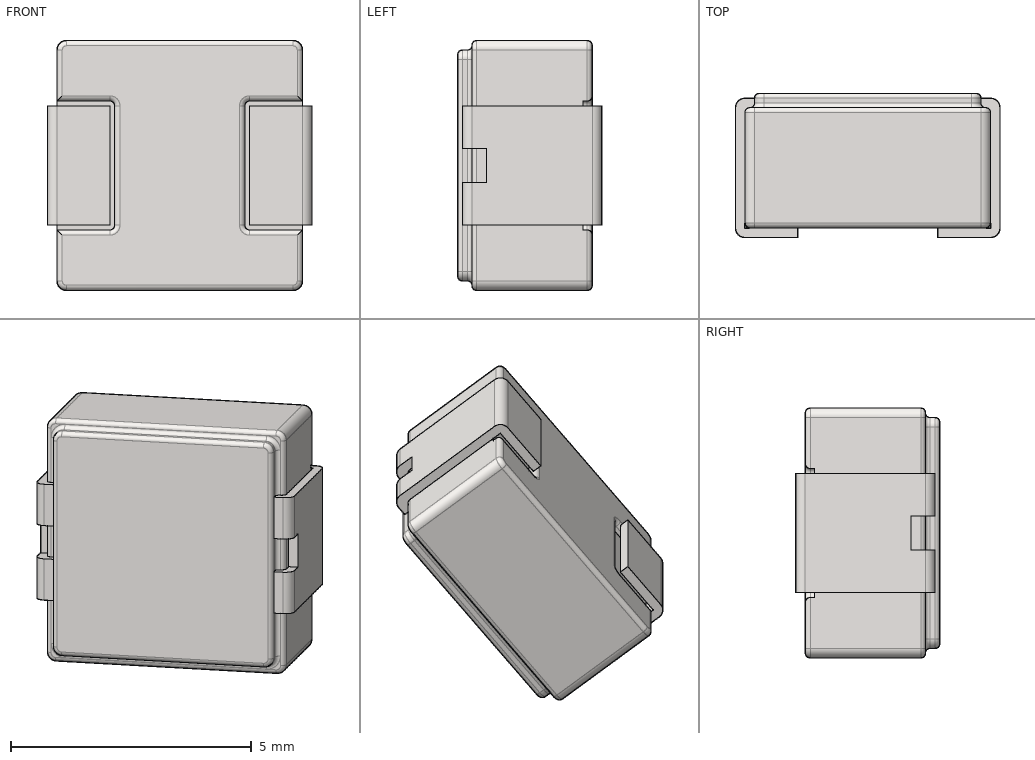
import cadquery as cq

overall_width = 5.5
overall_depth = 3.0
overall_height = 5.2

sheet = 0.2
bend_radius = sheet
terminal_height = 2.48
foot_length = 1.3
notch_height = 0.71
notch_depth = 0.505

body_width = overall_width - 2 * sheet
corner_radius = 0.2
front_fillet = 0.11
back_fillet = 0.1
panel_inset = sheet
panel_rise = 0.295
terminal_below_panel = 0.1
panel_foot_fillet = 0.095

margin = 0.005

recess_depth = 0.2
recess_gap = 0.1

foot_y = -overall_depth / 2
front_y = foot_y + sheet
panel_y = overall_depth / 2
back_y = panel_y - panel_rise
terminal_back_y = panel_y - terminal_below_panel


def rounded_block(width, height, y_start, y_end):
    """Block between two Y levels with rounded edges along Y."""
    block = cq.Workplane("XY").box(width, y_end - y_start, height)
    return block.edges("|Y").fillet(corner_radius).translate((0, (y_start + y_end) / 2, 0))


def make_body():
    """Body with front recesses, back panel and rounded rims."""
    block = rounded_block(body_width, overall_height, front_y, back_y)
    block = block.faces(">Y").edges().fillet(back_fillet)

    recess_end_x = overall_width / 2 - foot_length - recess_gap
    recess_width = overall_width / 2 - recess_end_x
    recess_height = terminal_height + 2 * recess_gap
    for side in (-1, 1):
        recess = (
            cq.Workplane("XY")
            .box(recess_width, recess_depth, recess_height)
            .edges("|Y")
            .edges(">X" if side < 0 else "<X")
            .fillet(recess_gap)
            .translate((side * (recess_end_x + recess_width / 2), front_y + recess_depth / 2, 0))
        )
        block = block.cut(recess)
    block = block.faces("<Y").edges().fillet(front_fillet)

    panel_width = body_width - 2 * panel_inset
    panel_height = overall_height - 2 * panel_inset
    panel = rounded_block(panel_width, panel_height, 0, panel_y)
    panel = panel.faces(">Y").edges().fillet(back_fillet)
    body = block.union(panel)
    foot_edges = cq.selectors.BoxSelector(
        (-panel_width / 2 - margin, back_y - margin, -panel_height / 2 - margin),
        (panel_width / 2 + margin, back_y + margin, panel_height / 2 + margin),
    )
    return body.edges(foot_edges).fillet(panel_foot_fillet)


def make_terminal():
    """C-shaped strip on the -X side, notched at its back bend.

    Its inner back corner is cut across so that the strip closes onto the rounded body rim.
    """
    outer_x = -overall_width / 2
    inner_x = outer_x + sheet
    leg_end_x = inner_x + panel_inset
    terminal = (
        cq.Workplane("XY")
        .moveTo(outer_x + foot_length, foot_y)
        .lineTo(outer_x, foot_y)
        .lineTo(outer_x, terminal_back_y)
        .lineTo(leg_end_x, terminal_back_y)
        .lineTo(leg_end_x, back_y)
        .lineTo(inner_x, back_y - back_fillet)
        .lineTo(inner_x, front_y)
        .lineTo(outer_x + foot_length, front_y)
        .close()
        .extrude(terminal_height / 2, both=True)
        .edges("|Z and <X")
        .fillet(bend_radius)
    )
    notch_width = leg_end_x - outer_x
    notch = cq.Workplane("XY").box(notch_width, notch_depth, notch_height)
    notch_centre = (outer_x + notch_width / 2, terminal_back_y - notch_depth / 2, 0)
    return terminal.cut(notch.translate(notch_centre))


left_terminal = make_terminal()
right_terminal = left_terminal.mirror("YZ")
result = make_body().union(left_terminal).union(right_terminal)